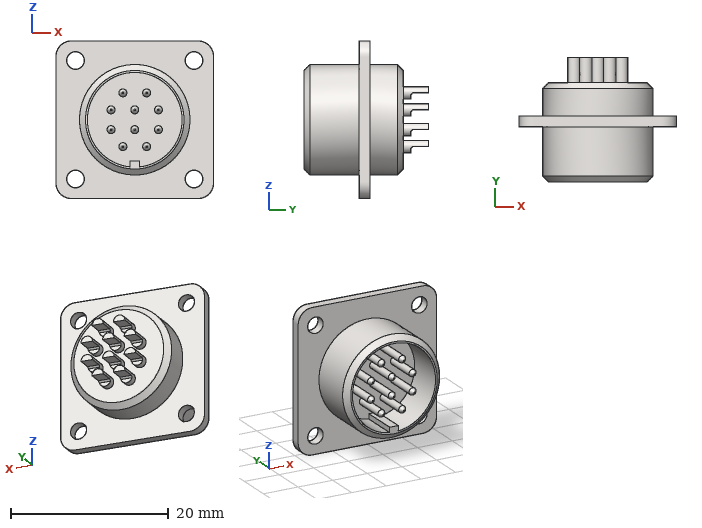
import cadquery as cq


flange_side = 20.0
flange_thickness = 1.4
flange_corner_radius = 2.0
mount_hole_diameter = 2.2
mount_hole_spacing = 15.0

shell_radius = 7.0
shell_front_length = 7.0
shell_rear_length = 4.2
cavity_radius = 6.0
rim_width = 0.25
shell_chamfer = shell_radius - cavity_radius - rim_width
cavity_depth = 5.5

key_width = 1.25
key_top_radius = 5.25

contact_pitch = 3.0
inner_row_spacing = 2.5
outer_row_spacing = 6.8
pin_radius = 0.5
pin_tip_radius = 0.1
pin_tip_length = 0.6
tail_radius = 0.8
tail_length = 3.2
tail_cut_length = 2.0
tail_cut_bevel = 0.25

front_y = -shell_front_length
shell_rear_y = flange_thickness + shell_rear_length
tail_end_y = shell_rear_y + tail_length


def along_y(start_y):
    """Workplane at start_y facing +Y, with local x = X and local y = -Z."""
    return cq.Workplane("XZ", origin=(0, start_y, 0)).transformed(rotate=(180, 0, 0))


def make_flange():
    return (
        along_y(0)
        .rect(flange_side, flange_side)
        .extrude(flange_thickness)
        .edges("|Y")
        .fillet(flange_corner_radius)
        .faces("<Y")
        .workplane(origin=(0, 0, 0))
        .rect(mount_hole_spacing, mount_hole_spacing, forConstruction=True)
        .vertices()
        .hole(mount_hole_diameter)
    )


def make_shell():
    """Round barrel, chamfered at both ends."""
    return (
        along_y(front_y)
        .circle(shell_radius)
        .extrude(shell_rear_y - front_y)
        .faces("<Y or >Y")
        .chamfer(shell_chamfer)
    )


def make_cavity():
    """Space removed from the mating end, leaving the keying rib standing."""
    bore = along_y(front_y).circle(cavity_radius).extrude(cavity_depth)
    rib_height = shell_radius - key_top_radius
    rib = cq.Workplane("XY").box(
        key_width, cavity_depth, rib_height, centered=(True, False, False)
    )
    return bore.cut(rib.translate((0, front_y, -shell_radius)))


def make_contact():
    """One contact on the Y axis: pointed pin in front, half-round solder tail behind.

    Its pin tip is level with the shell rim.
    """
    contact = (
        cq.Workplane("XY")
        .moveTo(0, front_y)
        .lineTo(pin_tip_radius, front_y)
        .lineTo(pin_radius, front_y + pin_tip_length)
        .lineTo(pin_radius, 0)
        .lineTo(tail_radius, 0)
        .lineTo(tail_radius, tail_end_y)
        .lineTo(0, tail_end_y)
        .close()
        .revolve(360, (0, 0, 0), (0, 1, 0))
    )
    cut_y = tail_end_y - tail_cut_length
    lower_half_cut = (
        cq.Workplane("YZ")
        .moveTo(tail_end_y, 0)
        .lineTo(cut_y, 0)
        .lineTo(cut_y - tail_cut_bevel, -tail_cut_bevel)
        .lineTo(cut_y - tail_cut_bevel, -tail_radius)
        .lineTo(tail_end_y, -tail_radius)
        .close()
        .extrude(tail_radius, both=True)
    )
    return contact.cut(lower_half_cut)


def contact_positions():
    """(X, Z) of the contacts: two inner rows of three and two outer rows of two."""
    positions = []
    for side in (-1, 1):
        for column in (-1, 0, 1):
            positions.append((column * contact_pitch, side * inner_row_spacing / 2))
        for column in (-0.5, 0.5):
            positions.append((column * contact_pitch, side * outer_row_spacing / 2))
    return positions


result = make_flange().union(make_shell()).cut(make_cavity())
contact = make_contact()
for x, z in contact_positions():
    result = result.union(contact.translate((x, 0, z)))